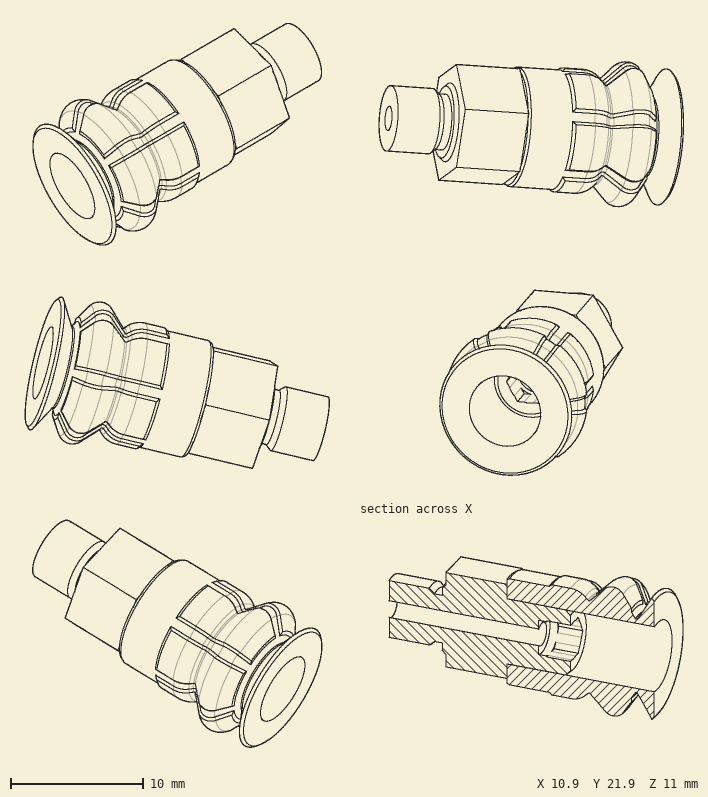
import cadquery as cq
import math


LIP_EDGE_Y = 0.22
NECK_START_Y = 1.42
NECK_END_Y = 1.55
PAD_START_Y = 1.85
CREST_Y = 3.39
SHOULDER_Y = 6.88
PAD_END_Y = 8.65
CUP_END_Y = 12.15
HEX_END_Y = 17.17
COLLAR_END_Y = 17.47
UNDERCUT_END_Y = 18.08
THREAD_START_Y = 18.52
TOTAL_LENGTH = 21.85

LIP_FACE_RADIUS = 4.94
LIP_EDGE_RADIUS = 5.18
NECK_RADIUS = 3.19
CUP_BORE_RADIUS = 2.8
CUP_TOP_CHAMFER_LENGTH = 0.22
CUP_TOP_CHAMFER_DEPTH = 0.1

CREST_RADIUS = 5.5
SHOULDER_RADIUS = 4.72
CREST_ROUND = 0.98
SHOULDER_ROUND = 1.68
WAIST_ROUND = 0.098
LOWER_CONE_ANGLE = math.radians(56.7)
FLANK_ANGLE = math.radians(45)

CREST_CENTER = (CREST_Y, CREST_RADIUS - CREST_ROUND)
SHOULDER_CENTER = (SHOULDER_Y, SHOULDER_RADIUS - SHOULDER_ROUND)
FLANK_SUM = CREST_CENTER[1] + CREST_CENTER[0] + (CREST_ROUND + WAIST_ROUND) * math.sqrt(2)
FLANK_DIFFERENCE = SHOULDER_CENTER[1] - SHOULDER_CENTER[0] + (SHOULDER_ROUND + WAIST_ROUND) * math.sqrt(2)
WAIST_CENTER = ((FLANK_SUM - FLANK_DIFFERENCE) / 2, (FLANK_SUM + FLANK_DIFFERENCE) / 2)

PAD_COUNT = 6
PAD_HEIGHT = 0.17
PAD_ROOT_RADIUS = 3.28
PAD_BEVEL_WIDTH = 0.25
GROOVE_FLOOR_ANGLE = 9.4
PAD_ANGLE = 360 / PAD_COUNT - GROOVE_FLOOR_ANGLE

HEX_SIDES = 6
HEX_ACROSS_FLATS = 8.0
COLLAR_BASE_RADIUS = 3.0
COLLAR_TOP_RADIUS = 2.73
UNDERCUT_RADIUS = 2.12
THREAD_RADIUS = 2.5
STEM_LENGTH = 5.25
STEM_CHAMFER = 0.37
SOCKET_ACROSS_FLATS = 3.01
SOCKET_DEPTH = 1.97
SOCKET_DRILL_RADIUS = 1.55
SOCKET_DRILL_DEPTH = 2.62
AIR_HOLE_RADIUS = 0.92

STEM_START_Y = CUP_END_Y - STEM_LENGTH

ORIGIN = (0, 0, 0)
Y_DIRECTION = (0, 1, 0)
AXIS_START = (0, 0)
AXIS_END = (1, 0)
TOLERANCE = 0.002


def across_corners(across_flats):
    return across_flats / math.cos(math.pi / HEX_SIDES)


def arc_point(center, radius, angle):
    """Point at an angle measured from the outward direction toward +Y."""
    y, r = center
    return (y + radius * math.sin(angle), r + radius * math.cos(angle))


def add_bellows(sketch, inset):
    """Draw the bellows outline, moved inward by inset, from the lower cone to the shoulder."""
    crest_round = CREST_ROUND - inset
    waist_round = WAIST_ROUND + inset
    shoulder_round = SHOULDER_ROUND - inset

    return (
        sketch
        .lineTo(*arc_point(CREST_CENTER, crest_round, -LOWER_CONE_ANGLE))
        .threePointArc(arc_point(CREST_CENTER, crest_round, 0),
                       arc_point(CREST_CENTER, crest_round, FLANK_ANGLE))
        .lineTo(*arc_point(WAIST_CENTER, -waist_round, FLANK_ANGLE))
        .threePointArc(arc_point(WAIST_CENTER, -waist_round, 0),
                       arc_point(WAIST_CENTER, -waist_round, -FLANK_ANGLE))
        .lineTo(*arc_point(SHOULDER_CENTER, shoulder_round, -FLANK_ANGLE))
        .threePointArc(arc_point(SHOULDER_CENTER, shoulder_round, -FLANK_ANGLE / 2),
                       arc_point(SHOULDER_CENTER, shoulder_round, 0))
    )


def lower_cone_radius(y):
    """Outer radius of the pads at a given Y on the lower cone of the bellows."""
    cone_y, cone_r = arc_point(CREST_CENTER, CREST_ROUND, -LOWER_CONE_ANGLE)
    return cone_r - (cone_y - y) * math.tan(LOWER_CONE_ANGLE)


def is_bevelled(edge):
    """True for the outer lengthwise edges of a pad and for its outer upper end edge."""
    middle = edge.positionAt(0.5)
    radius = math.hypot(middle.x, middle.z)
    length_along_axis = abs(edge.endPoint().y - edge.startPoint().y)
    outer_lengthwise = length_along_axis > TOLERANCE and radius > PAD_ROOT_RADIUS + TOLERANCE
    upper_end = middle.y > PAD_END_Y - TOLERANCE and radius > SHOULDER_RADIUS - TOLERANCE
    return outer_lengthwise or upper_end


def make_pad():
    """One raised pad with bevelled sides and upper end, centered on +Z."""
    outline = cq.Workplane("YZ").moveTo(PAD_START_Y, PAD_ROOT_RADIUS)
    outline = outline.lineTo(PAD_START_Y, lower_cone_radius(PAD_START_Y))
    slab = (
        add_bellows(outline, 0)
        .lineTo(PAD_END_Y, SHOULDER_RADIUS)
        .lineTo(PAD_END_Y, PAD_ROOT_RADIUS)
        .close()
        .revolve(PAD_ANGLE, AXIS_START, AXIS_END)
        .rotate(ORIGIN, Y_DIRECTION, -PAD_ANGLE / 2)
        .val()
    )
    bevelled_edges = [edge for edge in slab.Edges() if is_bevelled(edge)]
    return cq.Workplane(slab.chamfer(PAD_BEVEL_WIDTH, PAD_HEIGHT, bevelled_edges))


def make_cup():
    wall_radius = SHOULDER_RADIUS - PAD_HEIGHT
    body = (
        cq.Workplane("YZ")
        .moveTo(0, CUP_BORE_RADIUS)
        .lineTo(0, LIP_FACE_RADIUS)
        .lineTo(LIP_EDGE_Y, LIP_EDGE_RADIUS)
        .lineTo(NECK_START_Y, NECK_RADIUS)
        .lineTo(NECK_END_Y, NECK_RADIUS)
    )
    body = (
        add_bellows(body, PAD_HEIGHT)
        .lineTo(CUP_END_Y - CUP_TOP_CHAMFER_LENGTH, wall_radius)
        .lineTo(CUP_END_Y, wall_radius - CUP_TOP_CHAMFER_DEPTH)
        .lineTo(CUP_END_Y, CUP_BORE_RADIUS)
        .close()
        .revolve(360, AXIS_START, AXIS_END)
    )
    pad = make_pad()
    for index in range(PAD_COUNT):
        body = body.union(pad.rotate(ORIGIN, Y_DIRECTION, index * 360 / PAD_COUNT))
    return body.solids()


def section_at(y):
    """Sketch plane across the axis at a given Y; its normal points toward -Y."""
    return cq.Workplane("XZ", origin=(0, y, 0))


def make_stem_and_thread():
    return (
        cq.Workplane("YZ")
        .moveTo(STEM_START_Y, 0)
        .lineTo(STEM_START_Y, CUP_BORE_RADIUS - STEM_CHAMFER)
        .lineTo(STEM_START_Y + STEM_CHAMFER, CUP_BORE_RADIUS)
        .lineTo(HEX_END_Y, CUP_BORE_RADIUS)
        .lineTo(HEX_END_Y, COLLAR_BASE_RADIUS)
        .lineTo(COLLAR_END_Y, COLLAR_TOP_RADIUS)
        .lineTo(COLLAR_END_Y, UNDERCUT_RADIUS)
        .lineTo(UNDERCUT_END_Y, UNDERCUT_RADIUS)
        .lineTo(THREAD_START_Y, THREAD_RADIUS)
        .lineTo(TOTAL_LENGTH, THREAD_RADIUS)
        .lineTo(TOTAL_LENGTH, 0)
        .close()
        .revolve(360, AXIS_START, AXIS_END)
    )


def make_fitting():
    hexagon = (
        section_at(CUP_END_Y)
        .polygon(HEX_SIDES, across_corners(HEX_ACROSS_FLATS))
        .extrude(CUP_END_Y - HEX_END_Y)
    )
    socket = (
        section_at(STEM_START_Y)
        .polygon(HEX_SIDES, across_corners(SOCKET_ACROSS_FLATS))
        .extrude(-SOCKET_DEPTH)
    )
    socket_drill = section_at(STEM_START_Y).circle(SOCKET_DRILL_RADIUS).extrude(-SOCKET_DRILL_DEPTH)
    air_hole = section_at(STEM_START_Y).circle(AIR_HOLE_RADIUS).extrude(STEM_START_Y - TOTAL_LENGTH)
    return make_stem_and_thread().union(hexagon).cut(socket).cut(socket_drill).cut(air_hole).solids()


cup = make_cup()
fitting = make_fitting()

result = cq.Compound.makeCompound([cup.val(), fitting.val()])